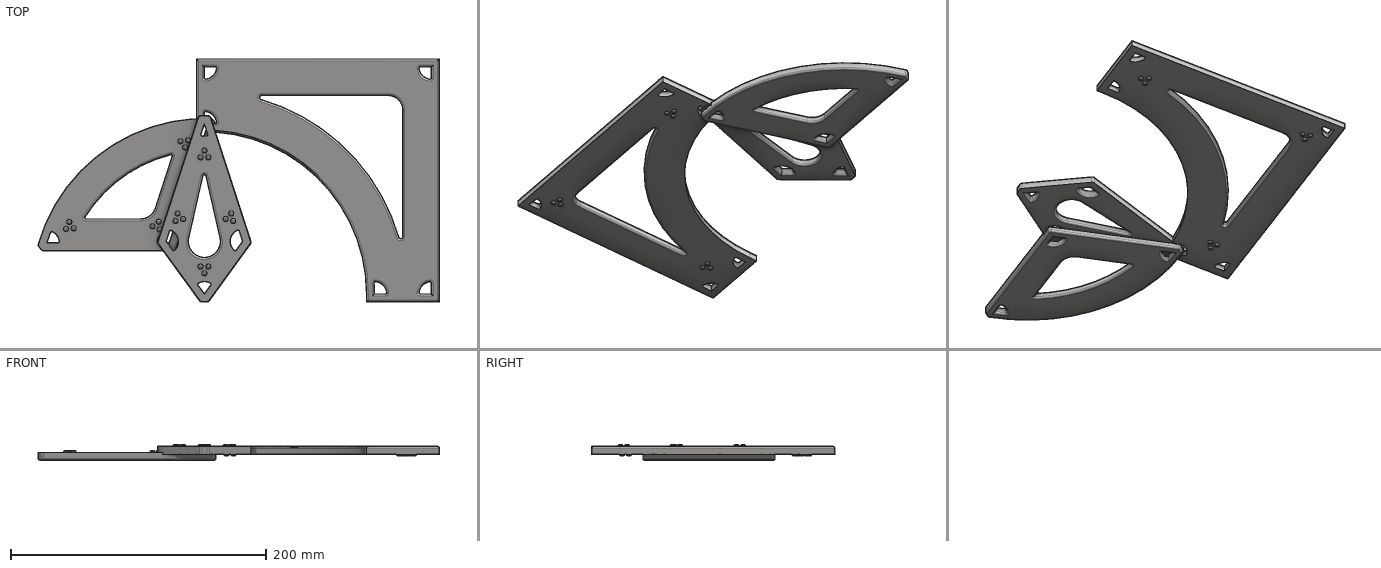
import cadquery as cq
import math

INCH = 25.4

plate_thickness = INCH / 4
bevel_radius = INCH / 16
rim_radius = 1.6
corner_radius = INCH * 3 / 32
position_tolerance = 0.1
hole_inset = INCH / 4
hole_radius = INCH * 3 / 8
hole_corner_radius = 1.0
bump_diameter = INCH * 5 / 32
bump_height = 1.28
bump_edge_radius = 1.2
bump_circle_radius = 3.5
bumps_per_group = 3

recess_depth = INCH / 16
upper_level = plate_thickness - recess_depth

frame_size = INCH * 7.5
bite_center = INCH / 4
bite_radius = INCH * 5
frame_window_radius = INCH * 6.25
frame_window_margin = 28.8
frame_window_corner_radius = 11.0
frame_window_tip_radius = 1.5
frame_arm_bump_offset = 27.35
frame_corner_bump_offset = 22.5

kite_axis_x = INCH / 4
kite_tip_angle = math.radians(18)
kite_bottom_angle = math.radians(36)
kite_tip_apex_y = 160.0
kite_bottom_apex_y = -4.4
kite_tip_y = 146.05
kite_edge_chamfer = 0.4
kite_window_center_y = 47.5
kite_window_radius = 12.5
kite_window_top_center_y = 98.6
kite_window_top_radius = 1.2
kite_tip_bump_y = 115.1
kite_side_bump_y = 65.9
kite_side_bump_x = 20.1
kite_side_bump_turn = 225
kite_bottom_bump_y = 26.0

wedge_apex = (-16.6, 40.1)
wedge_turn = 36
wedge_half_angle = math.radians(54)
wedge_arc_setback = 40.3
wedge_arc_radius = 136.325
wedge_corner_trim = 4.4
wedge_window_inset = 25.1
wedge_window_apex_radius = 12.0
wedge_window_tip_radius = 0.8
wedge_apex_bump_distance = 24.2
wedge_end_bump_distance = 84.8
wedge_end_bump_angle = math.radians(41)
wedge_end_bump_turn = 1


def distance_in_plan(edge, point):
    """Distance from the middle of an edge to a point, seen along Z."""
    return math.hypot(edge.Center().x - point[0], edge.Center().y - point[1])


def round_uprights(body, radius, points):
    """Round the upright edges of a body that stand at the given plan points."""
    return body.edges("|Z").filter(
        lambda edge: any(distance_in_plan(edge, point) < position_tolerance for point in points)
    ).fillet(radius)


def round_inner_rims(body, face):
    """Round the rims of all openings in one flat face of a plate."""
    openings = body.faces(face).val().innerWires()
    return body.newObject([edge for wire in openings for edge in wire.Edges()]).fillet(rim_radius)


def corner_hole(inset_plate, vertex):
    """Through hole that fills the corner of an inset plate out to a circle round its vertex."""
    disc = cq.Workplane("XY").center(*vertex).circle(hole_radius).extrude(plate_thickness)
    hole = inset_plate.intersect(disc)
    return hole.edges("|Z").filter(
        lambda edge: distance_in_plan(edge, vertex) > hole_radius / 2
    ).fillet(hole_corner_radius)


def add_bumps(plate, face, groups):
    """Add triangles of bumps to a flat face, each with one bump in the direction of its turn."""
    if face == ">Z":
        level = plate_thickness
        height = bump_height
    else:
        level = 0
        height = -bump_height
    bump = cq.Workplane("XY", origin=(0, 0, level)).circle(bump_diameter / 2).extrude(height)
    bump = bump.faces(face).edges().fillet(bump_edge_radius)
    for center, turn in groups:
        for step in range(bumps_per_group):
            angle = math.radians(turn + 360 * step / bumps_per_group)
            x = center[0] + bump_circle_radius * math.cos(angle)
            y = center[1] + bump_circle_radius * math.sin(angle)
            plate = plate.union(bump.translate((x, y, 0)))
    return plate



def frame_profile(inset):
    """L-shaped outline of the frame, moved inward by an inset."""
    low = inset
    high = frame_size - inset
    bite = bite_center + bite_radius + inset
    bite_middle = bite_center + (bite_radius + inset) * math.sqrt(0.5)
    profile = cq.Workplane("XY").moveTo(low, high).lineTo(low, bite)
    if low < bite_center:
        profile = profile.lineTo(bite_center, bite)
    profile = profile.threePointArc((bite_middle, bite_middle), (bite, bite_center))
    if low < bite_center:
        profile = profile.lineTo(bite, low)
    return profile.lineTo(high, low).lineTo(high, high).close()


def frame_window():
    """Window between two straight sides and an arc concentric with the bite."""
    side = frame_size - frame_window_margin
    reach = math.sqrt(frame_window_radius**2 - (side - bite_center) ** 2)
    tip = bite_center + reach
    middle = bite_center + frame_window_radius * math.sqrt(0.5)
    window = (
        cq.Workplane("XY")
        .moveTo(side, side)
        .lineTo(tip, side)
        .threePointArc((middle, middle), (side, tip))
        .close()
        .extrude(plate_thickness)
    )
    window = round_uprights(window, frame_window_corner_radius, [(side, side)])
    return round_uprights(window, frame_window_tip_radius, [(tip, side), (side, tip)])


def make_frame():
    """Frame with its beveled face up and its bumps underneath."""
    frame = frame_profile(0).extrude(plate_thickness)
    frame = frame.faces(">Z").edges().fillet(bevel_radius)
    frame = round_inner_rims(frame.cut(frame_window()), "<Z")

    near = hole_inset
    far = frame_size - hole_inset
    inset_plate = frame_profile(hole_inset).extrude(plate_thickness)
    bite_end = bite_center + bite_radius + hole_inset
    for vertex in [(near, far), (far, far), (far, near), (near, bite_end), (bite_end, near)]:
        frame = frame.cut(corner_hole(inset_plate, vertex))
    frame = round_inner_rims(frame, ">Z")

    arm_middle = (frame_size + bite_center + bite_radius) / 2
    corner = frame_size - frame_corner_bump_offset
    groups = [
        ((frame_arm_bump_offset, arm_middle), 180),
        ((arm_middle, frame_arm_bump_offset), 270),
        ((corner, corner), 45),
    ]
    return add_bumps(frame, "<Z", groups).translate((0, 0, upper_level))



def kite_corners(inset):
    """Top, right, bottom and left corners of the untrimmed kite, moved inward by an inset."""
    top = kite_tip_apex_y - inset / math.sin(kite_tip_angle)
    bottom = kite_bottom_apex_y + inset / math.sin(kite_bottom_angle)
    tip_slope = math.tan(kite_tip_angle)
    bottom_slope = math.tan(kite_bottom_angle)
    half_width = (top - bottom) * tip_slope * bottom_slope / (tip_slope + bottom_slope)
    side = top - half_width / tip_slope
    return [
        (kite_axis_x, top),
        (kite_axis_x + half_width, side),
        (kite_axis_x, bottom),
        (kite_axis_x - half_width, side),
    ]


def kite_blank():
    """Solid kite with both ends cut square and all corners rounded."""
    top, right, bottom, left = kite_corners(0)
    tip_half = (top[1] - kite_tip_y) * math.tan(kite_tip_angle)
    bottom_half = -bottom[1] * math.tan(kite_bottom_angle)
    outline = [
        (kite_axis_x + tip_half, kite_tip_y),
        right,
        (kite_axis_x + bottom_half, 0),
        (kite_axis_x - bottom_half, 0),
        left,
        (kite_axis_x - tip_half, kite_tip_y),
    ]
    blank = cq.Workplane("XY").polyline(outline).close().extrude(plate_thickness)
    return blank.edges("|Z").fillet(corner_radius)


def kite_window():
    """Teardrop window: two circles on the axis joined by their common tangents."""
    spacing = kite_window_top_center_y - kite_window_center_y
    lean = math.asin((kite_window_radius - kite_window_top_radius) / spacing)
    tangent_x = math.cos(lean)
    tangent_y = math.sin(lean)
    low_x = kite_window_radius * tangent_x
    low_y = kite_window_center_y + kite_window_radius * tangent_y
    high_x = kite_window_top_radius * tangent_x
    high_y = kite_window_top_center_y + kite_window_top_radius * tangent_y
    return (
        cq.Workplane("XY")
        .center(kite_axis_x, 0)
        .moveTo(low_x, low_y)
        .lineTo(high_x, high_y)
        .threePointArc((0, kite_window_top_center_y + kite_window_top_radius), (-high_x, high_y))
        .lineTo(-low_x, low_y)
        .threePointArc((0, kite_window_center_y - kite_window_radius), (low_x, low_y))
        .close()
        .extrude(plate_thickness)
    )


def make_kite():
    """Kite with its bumps on top."""
    kite = kite_blank().faces(">Z").edges().chamfer(kite_edge_chamfer)
    kite = round_inner_rims(kite.cut(kite_window()), ">Z")

    vertices = kite_corners(hole_inset)
    inset_plate = cq.Workplane("XY").polyline(vertices).close().extrude(plate_thickness)
    for vertex in vertices:
        kite = kite.cut(corner_hole(inset_plate, vertex))
    kite = round_inner_rims(kite, "<Z")

    groups = [
        ((kite_axis_x, kite_tip_bump_y), 90),
        ((kite_axis_x, kite_bottom_bump_y), 270),
        ((kite_axis_x - kite_side_bump_x, kite_side_bump_y), kite_side_bump_turn),
        ((kite_axis_x + kite_side_bump_x, kite_side_bump_y), 180 - kite_side_bump_turn),
    ]
    return add_bumps(kite, ">Z", groups).translate((0, 0, upper_level))



def wedge_points(inset):
    """Apex and right-hand end of the wedge outline, moved inward by an inset."""
    apex_y = inset / math.sin(wedge_half_angle)
    to_arc_center = wedge_arc_setback + apex_y
    radius = wedge_arc_radius - inset
    edge_length = -to_arc_center * math.cos(wedge_half_angle) + math.sqrt(
        radius**2 - (to_arc_center * math.sin(wedge_half_angle)) ** 2
    )
    end_x = edge_length * math.sin(wedge_half_angle)
    end_y = apex_y + edge_length * math.cos(wedge_half_angle)
    return (0, apex_y), (end_x, end_y)


def wedge_profile(inset):
    """Untrimmed wedge outline, moved inward by an inset."""
    apex, end = wedge_points(inset)
    crown = (0, wedge_arc_radius - inset - wedge_arc_setback)
    return cq.Workplane("XY").moveTo(*apex).lineTo(*end).threePointArc(crown, (-end[0], end[1])).close()


def wedge_blank():
    """Solid wedge with its two arc ends cut off and all corners rounded."""
    end = wedge_points(0)[1]
    trim_x = end[0] - wedge_corner_trim * math.sin(wedge_half_angle)
    trim_y = end[1] - wedge_corner_trim * math.cos(wedge_half_angle)
    end_angle = math.atan2(end[1] + wedge_arc_setback, end[0]) + wedge_corner_trim / wedge_arc_radius
    arc_x = wedge_arc_radius * math.cos(end_angle)
    arc_y = wedge_arc_radius * math.sin(end_angle) - wedge_arc_setback
    crown = (0, wedge_arc_radius - wedge_arc_setback)
    blank = (
        cq.Workplane("XY")
        .lineTo(trim_x, trim_y)
        .lineTo(arc_x, arc_y)
        .threePointArc(crown, (-arc_x, arc_y))
        .lineTo(-trim_x, trim_y)
        .close()
        .extrude(plate_thickness)
    )
    return blank.edges("|Z").fillet(corner_radius)


def wedge_window():
    """Window that follows the wedge outline at a constant distance."""
    apex, end = wedge_points(wedge_window_inset)
    window = wedge_profile(wedge_window_inset).extrude(plate_thickness)
    window = round_uprights(window, wedge_window_apex_radius, [apex])
    return round_uprights(window, wedge_window_tip_radius, [end, (-end[0], end[1])])


def make_wedge():
    """Wedge with its bumps on top and its beveled face down."""
    wedge = wedge_blank().faces("<Z").edges().fillet(bevel_radius)
    wedge = round_inner_rims(wedge.cut(wedge_window()), ">Z")

    inset_plate = wedge_profile(hole_inset).extrude(plate_thickness)
    apex, end = wedge_points(hole_inset)
    for vertex in [apex, end, (-end[0], end[1])]:
        wedge = wedge.cut(corner_hole(inset_plate, vertex))
    wedge = round_inner_rims(wedge, "<Z")

    end_x = wedge_end_bump_distance * math.sin(wedge_end_bump_angle)
    end_y = wedge_end_bump_distance * math.cos(wedge_end_bump_angle)
    groups = [
        ((0, wedge_apex_bump_distance), 270),
        ((end_x, end_y), wedge_end_bump_turn),
        ((-end_x, end_y), 180 - wedge_end_bump_turn),
    ]
    wedge = add_bumps(wedge, ">Z", groups)
    return wedge.rotate((0, 0, 0), (0, 0, 1), wedge_turn).translate((*wedge_apex, 0))


kite = make_kite()

kite_space = kite_blank().translate((0, 0, upper_level))
frame_space = frame_profile(0).extrude(plate_thickness).translate((0, 0, upper_level))
frame = make_frame().cut(kite_space)
wedge = make_wedge().cut(kite_space).cut(frame_space)

result = cq.Compound.makeCompound([frame.val(), kite.val(), wedge.val()])